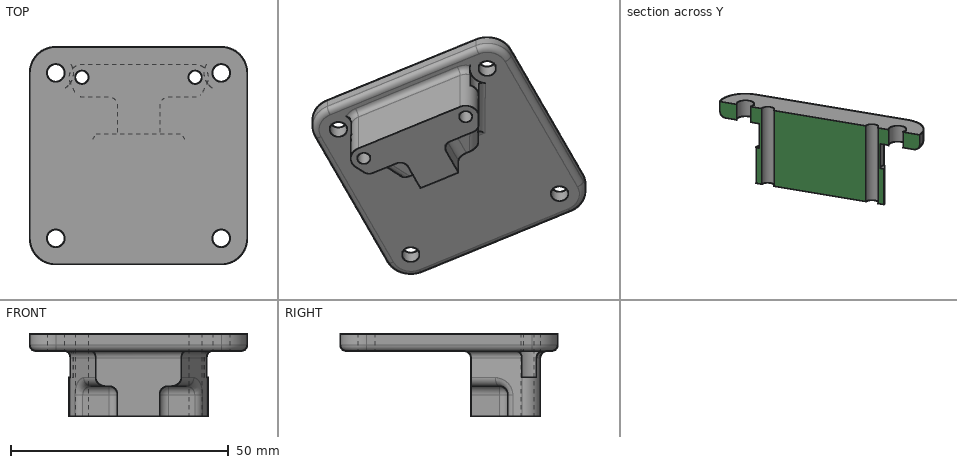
import cadquery as cq
import math

plate_side = 50
plate_thickness = 4
plate_corner_radius = 6
plate_rim_radius = 1.5
corner_hole_diameter = 4
corner_hole_offset = plate_side / 2 - plate_corner_radius

total_height = 19
block_height = total_height - plate_thickness
block_hole_diameter = 3
block_hole_x = 13
block_hole_y = 18
block_end_radius = 3
block_back_y = block_hole_y + block_end_radius
block_front_y = 5
block_front_half_width = 9.85
block_root_radius = 1.5

notch_inner_x = 4.85
notch_back_y = 13.5
notch_height = 7
notch_radius = 2

clearance_diameter = 8
clearance_bottom_z = 9

pick_margin = 0.005


def make_plate():
    plate = (
        cq.Workplane("XY")
        .workplane(offset=block_height)
        .rect(plate_side, plate_side)
        .extrude(plate_thickness)
    )
    plate = plate.edges("|Z").fillet(plate_corner_radius)
    return plate.faces("<Z").edges().fillet(plate_rim_radius)


def make_block():
    dx = block_front_half_width - block_hole_x
    dy = block_front_y - block_hole_y
    corner_angle = math.atan2(dy, dx)
    tangent_angle = corner_angle + math.acos(block_end_radius / math.hypot(dx, dy))
    tangent_x = block_hole_x + block_end_radius * math.cos(tangent_angle)
    tangent_y = block_hole_y + block_end_radius * math.sin(tangent_angle)
    middle_angle = (tangent_angle + math.pi / 2) / 2
    middle_x = block_hole_x + block_end_radius * math.cos(middle_angle)
    middle_y = block_hole_y + block_end_radius * math.sin(middle_angle)
    return (
        cq.Workplane("XY")
        .moveTo(-block_front_half_width, block_front_y)
        .lineTo(block_front_half_width, block_front_y)
        .lineTo(tangent_x, tangent_y)
        .threePointArc((middle_x, middle_y), (block_hole_x, block_back_y))
        .lineTo(-block_hole_x, block_back_y)
        .threePointArc((-middle_x, middle_y), (-tangent_x, tangent_y))
        .close()
        .extrude(block_height)
    )


def make_notch_cutter(side):
    outer_x = plate_side / 2
    cutter = cq.Workplane("XY").box(
        outer_x - notch_inner_x, notch_back_y, 2 * notch_height, centered=(False, False, True)
    )
    cutter = cutter.translate((notch_inner_x, 0, 0))
    cutter = cutter.edges("(<X and >Y) or (<X and >Z) or (>Y and >Z)").fillet(notch_radius)
    if side < 0:
        cutter = cutter.mirror("YZ")
    return cutter


def round_notch_rims(block):
    rims = []
    for face in block.faces("%PLANE").faces("#Z").vals():
        normal = face.normalAt()
        is_slanted = min(abs(normal.x), abs(normal.y)) > pick_margin
        if is_slanted:
            for edge in face.Edges():
                is_inside_notch = edge.Center().y < notch_back_y + pick_margin
                on_front = edge.Center().y < block_front_y + pick_margin
                in_height = pick_margin < edge.Center().z < notch_height + pick_margin
                if is_inside_notch and in_height and not on_front:
                    rims.append(edge)
    return block.newObject(rims).fillet(notch_radius)


def drill(body, points, diameter, bottom, height):
    cutters = (
        cq.Workplane("XY")
        .workplane(offset=bottom)
        .pushPoints(points)
        .circle(diameter / 2)
        .extrude(height)
    )
    return body.cut(cutters)


block = make_block()
for side in (-1, 1):
    block = block.cut(make_notch_cutter(side))
block = round_notch_rims(block)

result = make_plate().union(block)

root_zone = cq.selectors.BoxSelector(
    (-corner_hole_offset, 0, block_height - block_root_radius),
    (corner_hole_offset, block_back_y + pick_margin, block_height + pick_margin),
)
result = result.edges(root_zone).edges("#Z").fillet(block_root_radius)

rear_points = [(side * corner_hole_offset, corner_hole_offset) for side in (-1, 1)]
front_points = [(side * corner_hole_offset, -corner_hole_offset) for side in (-1, 1)]
block_hole_points = [(side * block_hole_x, block_hole_y) for side in (-1, 1)]

result = drill(result, rear_points, clearance_diameter, clearance_bottom_z, block_height - clearance_bottom_z)
result = drill(result, rear_points + front_points, corner_hole_diameter, block_height, plate_thickness)
result = drill(result, block_hole_points, block_hole_diameter, 0, total_height)